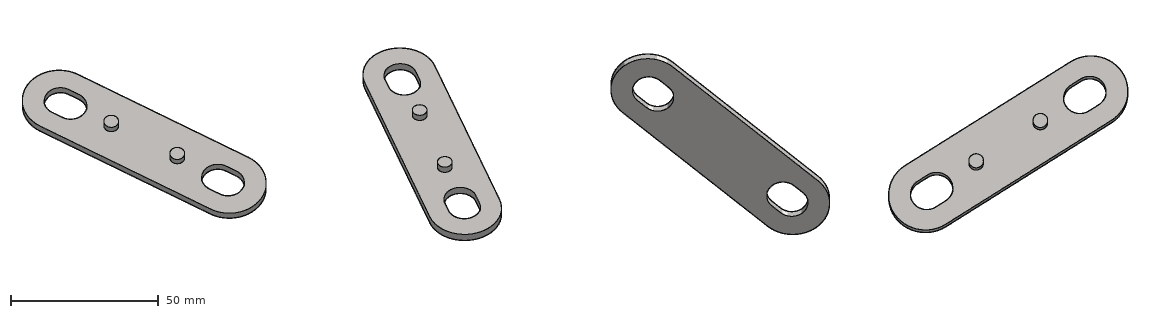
import cadquery as cq

plate_length = 92.0
plate_width = 25.0
plate_thickness = 3.0

slot_length = 15.0
slot_width = 11.0
slot_spacing = 62.0

pin_diameter = 5.0
pin_height = 2.5
pin_spacing = 26.0


def pair_along_x(spacing):
    """Two points on the X axis, equally far from the plate centre."""
    return [(-spacing / 2, 0), (spacing / 2, 0)]


def make_plate():
    """Flat bar with fully rounded ends, its underside at Z = 0."""
    return cq.Workplane("XY").slot2D(plate_length, plate_width).extrude(plate_thickness)


def make_slot_cutters():
    """Round-ended prisms that pass through the plate."""
    return (
        cq.Workplane("XY")
        .pushPoints(pair_along_x(slot_spacing))
        .slot2D(slot_length, slot_width)
        .extrude(plate_thickness)
    )


def make_pins():
    """Cylinders rooted in the plate and rising above its top face."""
    return (
        cq.Workplane("XY")
        .pushPoints(pair_along_x(pin_spacing))
        .circle(pin_diameter / 2)
        .extrude(plate_thickness + pin_height)
    )


result = make_plate().cut(make_slot_cutters()).union(make_pins())